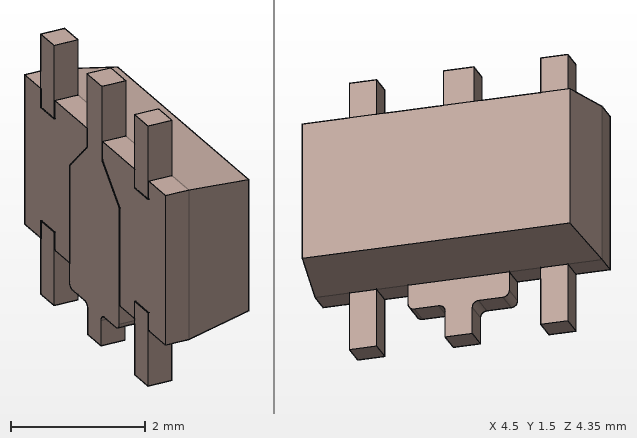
import cadquery as cq
import math

housing_width = 4.5
housing_height = 2.5
total_depth = 1.5
total_height = 4.35
standoff = 0.015
draft_angle = 8.0

lead_thickness = 0.405
lead_width = 0.428
lead_length = 1.23
lead_pitch = 1.5

tab_width = 1.59
tab_bottom = -1.65
tab_shoulder = 0.39
tab_neck = 0.945
tab_top_width = 0.475
tab_corner_radius = 0.1

drafted_depth = total_depth - lead_thickness
draft_inset = drafted_depth * math.tan(math.radians(draft_angle))
end_z = total_height / 2


def make_corner_lead(x_side, z_side):
    """Straight bar at one corner, partly embedded in the housing."""
    center_z = z_side * (end_z - lead_length / 2)
    return cq.Workplane("XY").box(lead_width, lead_thickness, lead_length).translate(
        (x_side * lead_pitch, lead_thickness / 2, center_z)
    )


def make_center_tab():
    """Flat plate with a tapered shoulder and a lead at each end."""
    half_plate = tab_width / 2
    half_top = tab_top_width / 2
    half_bottom = lead_width / 2
    right_side = [
        (half_bottom, -end_z),
        (half_bottom, tab_bottom),
        (half_plate, tab_bottom),
        (half_plate, tab_shoulder),
        (half_top, tab_neck),
        (half_top, end_z),
    ]
    left_side = [(-x, z) for x, z in reversed(right_side)]
    plate = cq.Workplane("XZ").polyline(right_side + left_side).close().extrude(-lead_thickness)
    bottom_corners = cq.selectors.BoxSelector(
        (-tab_width, -lead_thickness, tab_bottom - tab_corner_radius),
        (tab_width, lead_thickness * 2, tab_bottom + tab_corner_radius),
    )
    return plate.edges("|Y").edges(bottom_corners).fillet(tab_corner_radius)


def make_housing(embedded_bodies):
    """Straight front band and drafted back, with recesses for the leads and tab."""
    front_band = (
        cq.Workplane("XZ", origin=(0, standoff, 0))
        .rect(housing_width, housing_height)
        .extrude(standoff - lead_thickness)
    )
    drafted_back = (
        cq.Workplane("XZ", origin=(0, lead_thickness, 0))
        .rect(housing_width, housing_height)
        .workplane(offset=-drafted_depth)
        .rect(housing_width - 2 * draft_inset, housing_height - 2 * draft_inset)
        .loft(ruled=True)
    )
    housing = front_band.union(drafted_back)
    for body in embedded_bodies:
        housing = housing.cut(body)
    return housing.solids()


corner_leads = [make_corner_lead(x_side, z_side) for x_side in (-1, 1) for z_side in (-1, 1)]
center_tab = make_center_tab()
housing = make_housing([center_tab, *corner_leads])

result = cq.Compound.makeCompound(
    [housing.val(), center_tab.val(), *[lead.val() for lead in corner_leads]]
)